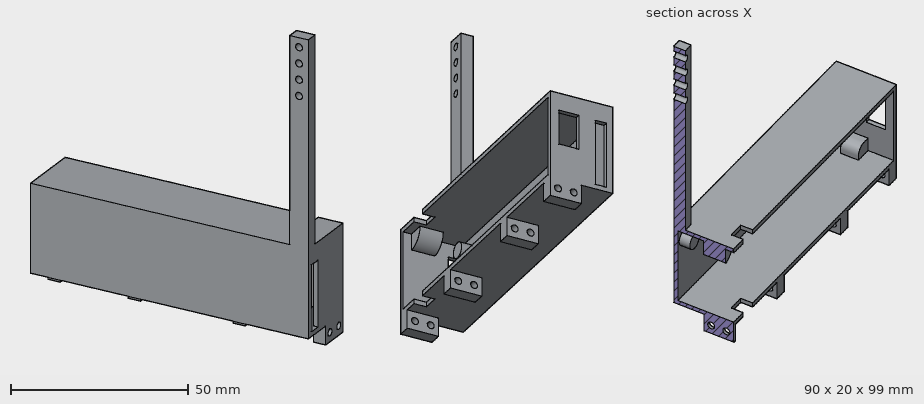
import cadquery as cq

length = 90.0
depth = 20.0
total_height = 99.0
wall = 1.5

foot_height = 5.9
foot_width = 4.0
foot_depth = 10.0
foot_starts = (0, 26.0, 60.0, length - foot_width)
foot_hole_diameter = 2.2
foot_hole_spacing = 5.0
foot_hole_height = foot_height / 2

arm_width = 6.0
arm_depth = 4.0
arm_height = 65.0
arm_hole_diameter = 2.2
arm_hole_count = 4
arm_hole_spacing = 5.0
arm_top_hole_drop = 3.0

box_top = total_height - arm_height
box_height = box_top - foot_height
floor_top = foot_height + wall

window_width = 6.3
window_height = 11.0
window_back_margin = 2.8
window_drop = 5.5
slot_width = 3.6
slot_front = 2.0
slot_drop = 5.7

notch_start = 76.9
notch_width = 5.0
notch_depth = 4.0

ledge_length = 5.1
ledge_depth = 5.9
ledge_height = 4.5
ledge_radius = 3.0

rib_front = 9.9
rib_depth = 7.4
rib_radius = 5.1

boss_radius = 2.5
boss_end = 5.0
boss_center_x = length - arm_width
boss_center_z = 28.2


def block(x, y, z, size_x, size_y, size_z):
    """Box with its minimum corner at (x, y, z)."""
    return cq.Workplane("XY").box(size_x, size_y, size_z, centered=False).translate((x, y, z))


def round_bar(center_x, center_z, radius, start_y, bar_length):
    """Cylinder along Y, running back from start_y."""
    circle = cq.Workplane("XZ", origin=(center_x, start_y, center_z)).circle(radius)
    return circle.extrude(-bar_length)


def make_box():
    """Thin-walled box, open at the back."""
    outer = block(0, 0, foot_height, length, depth, box_height)
    cavity = block(wall, wall, floor_top, length - 2 * wall, depth, box_height - 2 * wall)
    return outer.cut(cavity)


def make_ledge():
    ledge = block(wall, slot_front + slot_width, floor_top, ledge_length, ledge_depth, ledge_height)
    return ledge.edges(">X and >Z").fillet(ledge_radius)


def make_rib():
    corner_x = length - wall
    corner_z = box_top - wall
    rod = round_bar(corner_x, corner_z, rib_radius, rib_front, rib_depth)
    keep = block(corner_x - rib_radius, rib_front, corner_z - rib_radius, rib_radius, rib_depth, rib_radius)
    return rod.intersect(keep)


def make_boss():
    return round_bar(boss_center_x, boss_center_z, boss_radius, wall, boss_end - wall)


def make_feet():
    feet = cq.Workplane("XY")
    for start in foot_starts:
        feet = feet.union(block(start, depth - foot_depth, 0, foot_width, foot_depth, foot_height))
    center_y = depth - foot_depth / 2
    holes = (
        cq.Workplane("YZ")
        .pushPoints([(center_y + side * foot_hole_spacing / 2, foot_hole_height) for side in (-1, 1)])
        .circle(foot_hole_diameter / 2)
        .extrude(length)
    )
    return feet.cut(holes)


def make_arm():
    arm = block(length - arm_width, 0, box_top, arm_width, arm_depth, arm_height)
    heights = [total_height - arm_top_hole_drop - i * arm_hole_spacing for i in range(arm_hole_count)]
    holes = (
        cq.Workplane("XZ")
        .pushPoints([(length - arm_width / 2, height) for height in heights])
        .circle(arm_hole_diameter / 2)
        .extrude(-arm_depth)
    )
    return arm.cut(holes)


def make_openings():
    window = block(
        0, depth - window_back_margin - window_width, box_top - window_drop - window_height,
        wall, window_width, window_height,
    )
    slot = block(0, slot_front, floor_top, length, slot_width, box_height - wall - slot_drop)
    notch = block(notch_start, depth - notch_depth, foot_height, notch_width, notch_depth, box_height)
    return window.union(slot).union(notch)


body = make_box().union(make_feet()).union(make_arm()).cut(make_openings())
result = body.union(make_ledge()).union(make_rib()).union(make_boss())